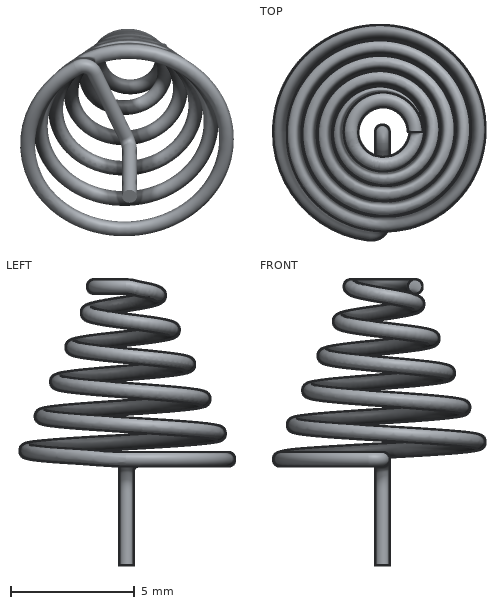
import cadquery as cq
import math

wire_diameter = 0.6
base_radius = 4.135
top_radius = 1.27
turns = 5
pitch = 1.4
base_ramp_turns = 0.2
top_ramp_turns = 0.6
points_per_turn = 16

top_loop_radius = 1.3

bend_radius = 0.46
leg_drop = 4.3

coil_height = turns * pitch


def taper_progress(turn):
    """Integral of a taper rate that ramps up to 1, holds, then ramps back to 0."""
    if turn < base_ramp_turns:
        return turn**2 / (2 * base_ramp_turns)
    progress = turn - base_ramp_turns / 2
    turns_into_top_ramp = max(0, turn - (turns - top_ramp_turns))
    return progress - turns_into_top_ramp**2 / (2 * top_ramp_turns)


def coil_point(turn):
    """Centreline point of the coil, starting on -X and turning clockwise as it climbs."""
    taper = (base_radius - top_radius) * taper_progress(turn) / taper_progress(turns)
    radius = base_radius - taper
    angle = math.pi - 2 * math.pi * turn
    return cq.Vector(radius * math.cos(angle), radius * math.sin(angle), pitch * turn)


def arc_edge(center, radius, start_degrees, end_degrees):
    """Horizontal arc running between two angles about its centre."""

    def point(degrees):
        angle = math.radians(degrees)
        return center + cq.Vector(radius * math.cos(angle), radius * math.sin(angle), 0)

    middle_degrees = (start_degrees + end_degrees) / 2
    return cq.Edge.makeThreePointArc(point(start_degrees), point(middle_degrees), point(end_degrees))


def leg_edges():
    """Vertical leg, bend at the axis, and radial run out towards the base loop."""
    foot = cq.Vector(0, 0, -leg_drop)
    bend_start = cq.Vector(0, 0, -bend_radius)
    bend_offset = bend_radius * (1 - math.sqrt(0.5))
    bend_middle = cq.Vector(0, -bend_offset, -bend_offset)
    bend_end = cq.Vector(0, -bend_radius, 0)
    run_end = cq.Vector(0, corner_center.y, 0)
    return [
        cq.Edge.makeLine(foot, bend_start),
        cq.Edge.makeThreePointArc(bend_start, bend_middle, bend_end),
        cq.Edge.makeLine(bend_end, run_end),
    ]


def base_edges():
    """Corner arc tangent to the radial run, and the flat base loop it blends into."""
    corner_degrees = math.degrees(math.atan2(corner_center.y, corner_center.x))
    return [
        arc_edge(corner_center, bend_radius, 0, corner_degrees),
        arc_edge(cq.Vector(0, 0, 0), base_radius, corner_degrees, -180),
    ]


def coil_edge():
    """Smooth curve through evenly spaced points of the coil, level where it meets the flat loops."""
    stations = [i / points_per_turn for i in range(turns * points_per_turn + 1)]
    start_tangent = cq.Vector(0, 2 * math.pi * base_radius, 0)
    end_tangent = cq.Vector(0, 2 * math.pi * top_radius, 0)
    return cq.Edge.makeSpline(
        [coil_point(turn) for turn in stations],
        tangents=[start_tangent, end_tangent],
        parameters=stations,
        scale=False,
    )


def top_loop_edge():
    """Flat half turn that continues from the coil's upper end."""
    center = cq.Vector(top_loop_radius - top_radius, 0, coil_height)
    return arc_edge(center, top_loop_radius, 180, 0)


corner_center = cq.Vector(-bend_radius, -math.sqrt((base_radius - bend_radius) ** 2 - bend_radius**2), 0)

centreline = cq.Wire.assembleEdges([*leg_edges(), *base_edges(), coil_edge(), top_loop_edge()])
result = (
    cq.Workplane("XY", origin=(0, 0, -leg_drop))
    .circle(wire_diameter / 2)
    .sweep(cq.Workplane(centreline))
)